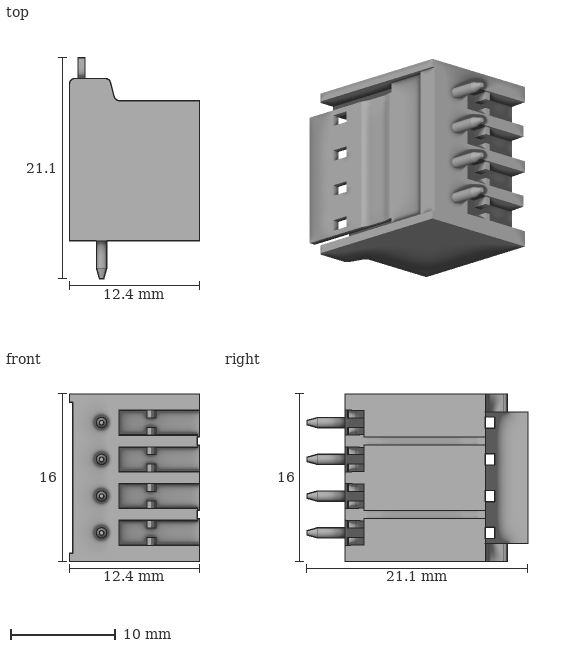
import cadquery as cq
import math

LENGTH = 12.4
HEIGHT = 16.0
BODY_DEPTH = 13.38

POLES = 4
PITCH = 3.5
POLE_HEIGHTS = [(i - (POLES - 1) / 2) * PITCH for i in range(POLES)]

WALL_DEPTH = 15.49
SHOULDER_TOP_X = 3.82
SHOULDER_BASE_X = 4.37
SHOULDER_RADIUS = 0.5

RIM_THICKNESS = 0.8
FRONT_LAND_X = 0.3
LAND_BEVEL_START = 1.95
LAND_BEVEL_END = 2.1
RECESS_X = 0.8
GAP_START = 6.4
GAP_FLOOR_X = 2.0

LATCH_HEIGHT = 12.58
LATCH_THICKNESS = 0.7
LATCH_END = 17.47
RELIEF_START = 6.6
RELIEF_END = 10.45
RELIEF_RAMP = 0.5
RELIEF_ARC = 0.57
RELIEF_ANGLE = math.radians(15)
WINDOW_LENGTH = 1.8
WINDOW_HEIGHT = 1.05
WINDOW_CENTRE_Y = BODY_DEPTH

SLOT_X = 4.7
SLOT_HEIGHT = 2.4
SLOT_DEPTH = 1.8
SLOT_DRAFT = math.radians(2)
SLOT_FLOOR_HEIGHT = SLOT_HEIGHT - 2 * SLOT_DEPTH * math.tan(SLOT_DRAFT)

NOTCH_DEPTH = 0.21
NOTCH_HEIGHT = 0.8
NOTCH_LEVELS = [-PITCH, PITCH]

PRONG_X = 7.38
PRONG_TIP_Y = 0.25
PRONG_TIP_WIDTH = 0.5
PRONG_CORNER_WIDTH = 0.65
PRONG_WIDTH = 0.87
PRONG_CORNER_DROP = 0.08
PRONG_FLANK_DROP = 0.74
PRONG_HEIGHT = 0.75

PIN_X = 3.05
PIN_DIAMETER = 1.0
PIN_TIP_DIAMETER = 0.42
PIN_LENGTH = 3.63
PIN_TAPER = 1.01


def box(x_range, y_range, z_range):
    """Axis-aligned box between the given limits."""
    size = [high - low for low, high in (x_range, y_range, z_range)]
    return cq.Workplane("XY").box(*size, centered=False).translate((x_range[0], y_range[0], z_range[0]))


def centred(height, middle=0):
    """Limits of a span of the given height about a middle level."""
    return (middle - height / 2, middle + height / 2)


def upright(outline, height):
    """Closed XY outline extruded equally above and below Z = 0."""
    return outline.close().extrude(height / 2, both=True)


def make_housing():
    outline = cq.Workplane("XY").polyline([
        (0, 0),
        (LENGTH, 0),
        (LENGTH, BODY_DEPTH),
        (SHOULDER_BASE_X, BODY_DEPTH),
        (SHOULDER_TOP_X, WALL_DEPTH),
        (0, WALL_DEPTH),
    ])
    housing = upright(outline, HEIGHT)
    for x, y in [(0, WALL_DEPTH), (SHOULDER_TOP_X, WALL_DEPTH), (SHOULDER_BASE_X, BODY_DEPTH)]:
        corner = cq.selectors.NearestToPointSelector((x, y, 0))
        housing = housing.edges(corner).fillet(SHOULDER_RADIUS)

    housing = housing.cut(box((0, LENGTH), (BODY_DEPTH, WALL_DEPTH), centred(LATCH_HEIGHT)))

    side_recess = cq.Workplane("XY").polyline([
        (0, 0),
        (FRONT_LAND_X, 0),
        (FRONT_LAND_X, LAND_BEVEL_START),
        (RECESS_X, LAND_BEVEL_END),
        (RECESS_X, GAP_START),
        (GAP_FLOOR_X, GAP_START),
        (GAP_FLOOR_X, WALL_DEPTH),
        (0, WALL_DEPTH),
    ])
    return housing.cut(upright(side_recess, HEIGHT - 2 * RIM_THICKNESS))


def make_latch():
    """Plate with a shallow relief whose ramps run into its floor through tangent arcs."""
    ramp_x = RECESS_X + RELIEF_RAMP * math.tan(RELIEF_ANGLE)
    floor_x = ramp_x + RELIEF_ARC * math.tan(RELIEF_ANGLE / 2)
    inner_x = RECESS_X + LATCH_THICKNESS
    outline = (
        cq.Workplane("XY")
        .moveTo(RECESS_X, LAND_BEVEL_END)
        .lineTo(RECESS_X, RELIEF_START)
        .lineTo(ramp_x, RELIEF_START + RELIEF_RAMP)
        .tangentArcPoint((floor_x, RELIEF_START + RELIEF_RAMP + RELIEF_ARC), relative=False)
        .lineTo(floor_x, RELIEF_END - RELIEF_RAMP - RELIEF_ARC)
        .tangentArcPoint((ramp_x, RELIEF_END - RELIEF_RAMP), relative=False)
        .lineTo(RECESS_X, RELIEF_END)
        .lineTo(RECESS_X, LATCH_END)
        .lineTo(inner_x, LATCH_END)
        .lineTo(inner_x, LAND_BEVEL_END)
    )
    latch = upright(outline, LATCH_HEIGHT)
    window_y = centred(WINDOW_LENGTH, WINDOW_CENTRE_Y)
    for z in POLE_HEIGHTS:
        latch = latch.cut(box((RECESS_X, inner_x), window_y, centred(WINDOW_HEIGHT, z)))
    return latch


def cut_slots(body):
    profile = cq.Workplane("YZ", origin=(SLOT_X, 0, 0)).polyline([
        (0, -SLOT_HEIGHT / 2),
        (SLOT_DEPTH, -SLOT_FLOOR_HEIGHT / 2),
        (SLOT_DEPTH, SLOT_FLOOR_HEIGHT / 2),
        (0, SLOT_HEIGHT / 2),
    ])
    slot = profile.close().extrude(LENGTH - SLOT_X)
    for z in POLE_HEIGHTS:
        body = body.cut(slot.translate((0, 0, z)))
    return body


def cut_notches(body):
    """Shorten the notched ribs over their full height and run a narrower notch through the body."""
    notch_x = (LENGTH - NOTCH_DEPTH, LENGTH)
    rib_root_height = PITCH - SLOT_FLOOR_HEIGHT
    for z in NOTCH_LEVELS:
        body = body.cut(box(notch_x, (0, BODY_DEPTH), centred(NOTCH_HEIGHT, z)))
        body = body.cut(box(notch_x, (0, SLOT_DEPTH), centred(rib_root_height, z)))
    return body


def make_prongs(z):
    """Pair of prongs against the upper and lower walls of the slot at height z."""
    corner_y = PRONG_TIP_Y + PRONG_CORNER_DROP
    outline = cq.Workplane("XY").polyline([
        (PRONG_X, PRONG_TIP_Y),
        (PRONG_X + PRONG_TIP_WIDTH, PRONG_TIP_Y),
        (PRONG_X + PRONG_CORNER_WIDTH, corner_y),
        (PRONG_X + PRONG_WIDTH, corner_y + PRONG_FLANK_DROP),
        (PRONG_X + PRONG_WIDTH, SLOT_DEPTH),
        (PRONG_X, SLOT_DEPTH),
    ])
    bar = upright(outline, SLOT_HEIGHT)
    middle = box(
        (PRONG_X, PRONG_X + PRONG_WIDTH),
        (PRONG_TIP_Y, SLOT_DEPTH),
        centred(SLOT_HEIGHT - 2 * PRONG_HEIGHT),
    )
    return bar.cut(middle).translate((0, 0, z))


def make_pin(z):
    profile = cq.Workplane("XY").polyline([
        (0, 0),
        (PIN_DIAMETER / 2, 0),
        (PIN_DIAMETER / 2, PIN_TAPER - PIN_LENGTH),
        (PIN_TIP_DIAMETER / 2, -PIN_LENGTH),
        (0, -PIN_LENGTH),
    ]).close()
    return profile.revolve(360, (0, 0), (0, 1)).translate((PIN_X, 0, z))


result = cut_notches(cut_slots(make_housing().union(make_latch())))
for pole_z in POLE_HEIGHTS:
    result = result.union(make_prongs(pole_z)).union(make_pin(pole_z))